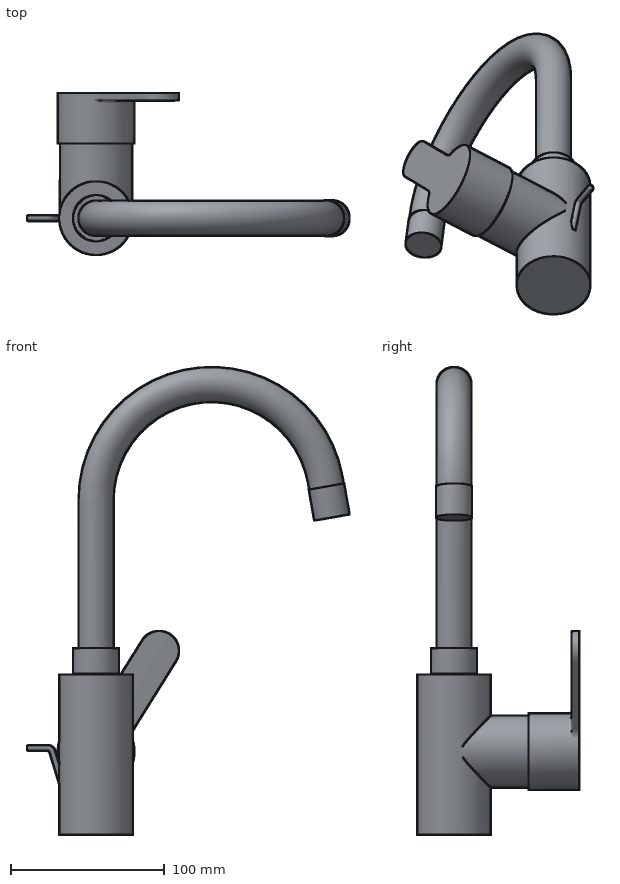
import cadquery as cq
import math

BODY_RADIUS = 24.0
BODY_HEIGHT = 104.2

BRANCH_RADIUS = 23.6
BRANCH_Z = 54.1
BRANCH_END_Y = 48.5

COLLAR_RADIUS = 15.05
COLLAR_HEIGHT = 17.2
COLLAR_TOP_ROUND = 0.5
COLLAR_BASE_CHAMFER = 0.5

SPOUT_RADIUS = 11.5
SPOUT_TOP_Z = 303.99
NECK_RADIUS = 75.0
NECK_SWEEP = 170.0
SPOUT_END_LENGTH = 4.3
NECK_START_Z = SPOUT_TOP_Z - NECK_RADIUS - SPOUT_RADIUS

AERATOR_RADIUS = 11.75
AERATOR_LENGTH = 20.5

HUB_RADIUS = 25.0
HUB_BACK_Y = 105.46 - BODY_RADIUS
BLADE_ANGLE = 32.0
BLADE_HALF_WIDTH = 13.0
BLADE_REACH = 90.2
BLADE_THICKNESS = 5.0
BLADE_CROWN = 0.3
BLADE_EDGE_ROUND = 1.0
BLADE_ROOT_ROUND = 1.5
BLADE_FLARE_RADIUS = 8.0
BLADE_FLARE_SINK = 0.3

ROD_RADIUS = 2.0
ROD_TIP_ROUND = 1.5
ROD_TIP_X = -45.0
ROD_Z = 56.4
ROD_BEND_START_X = -31.3
ROD_BEND_RADIUS = 3.0
ROD_BEND_ANGLE = 73.0
ROD_SLANT_LENGTH = 34.0

PICK_MARGIN = 1.0


def make_rod():
    """Round rod that runs along +X, then bends down into the body."""
    bend = math.radians(ROD_BEND_ANGLE)
    half = bend / 2

    def on_bend(angle):
        return (
            ROD_BEND_START_X + ROD_BEND_RADIUS * math.sin(angle),
            ROD_Z - ROD_BEND_RADIUS * (1 - math.cos(angle)),
        )

    bend_end_x, bend_end_z = on_bend(bend)
    slant_end = (
        bend_end_x + ROD_SLANT_LENGTH * math.cos(bend),
        bend_end_z - ROD_SLANT_LENGTH * math.sin(bend),
    )
    path = (
        cq.Workplane("XZ")
        .moveTo(ROD_TIP_X, ROD_Z)
        .lineTo(ROD_BEND_START_X, ROD_Z)
        .threePointArc(on_bend(half), (bend_end_x, bend_end_z))
        .lineTo(*slant_end)
    )
    rod = (
        cq.Workplane("YZ", origin=(ROD_TIP_X, 0, ROD_Z))
        .circle(ROD_RADIUS)
        .sweep(path)
    )
    return rod.faces("<X").edges().fillet(ROD_TIP_ROUND)


def make_body(rod):
    """Upright cylinder with its side branch and a close-fitting hole for the rod."""
    column = cq.Workplane("XY").circle(BODY_RADIUS).extrude(BODY_HEIGHT)
    branch = (
        cq.Workplane("XZ", origin=(0, 0, BRANCH_Z))
        .circle(BRANCH_RADIUS)
        .extrude(-BRANCH_END_Y)
    )
    return column.union(branch).cut(rod)


def make_collar():
    """Ring that stands on the body and surrounds the spout."""
    ring = (
        cq.Workplane("XY", origin=(0, 0, BODY_HEIGHT))
        .circle(COLLAR_RADIUS)
        .extrude(COLLAR_HEIGHT)
        .faces(">Z").edges().fillet(COLLAR_TOP_ROUND)
        .faces("<Z").edges().chamfer(COLLAR_BASE_CHAMFER)
    )
    bore = (
        cq.Workplane("XY", origin=(0, 0, BODY_HEIGHT))
        .circle(SPOUT_RADIUS)
        .extrude(COLLAR_HEIGHT)
    )
    return ring.cut(bore)


def on_neck(turned):
    """X and Z on the neck centreline after the given turn in degrees."""
    angle = math.radians(180 - turned)
    return (
        NECK_RADIUS + NECK_RADIUS * math.cos(angle),
        NECK_START_Z + NECK_RADIUS * math.sin(angle),
    )


NECK_END_X, NECK_END_Z = on_neck(NECK_SWEEP)
OUTLET_DIR_X = math.cos(math.radians(NECK_SWEEP - 90))
OUTLET_DIR_Z = -math.sin(math.radians(NECK_SWEEP - 90))
SPOUT_END_X = NECK_END_X + SPOUT_END_LENGTH * OUTLET_DIR_X
SPOUT_END_Z = NECK_END_Z + SPOUT_END_LENGTH * OUTLET_DIR_Z


def make_spout():
    """Swan-neck spout that stands on the body inside the collar."""
    path = (
        cq.Workplane("XZ")
        .moveTo(0, BODY_HEIGHT)
        .lineTo(0, NECK_START_Z)
        .threePointArc(on_neck(NECK_SWEEP / 2), (NECK_END_X, NECK_END_Z))
        .lineTo(SPOUT_END_X, SPOUT_END_Z)
    )
    return (
        cq.Workplane("XY", origin=(0, 0, BODY_HEIGHT))
        .circle(SPOUT_RADIUS)
        .sweep(path)
    )


def make_aerator():
    """Slightly wider sleeve on the spout end, in line with the outlet."""
    outlet = cq.Plane(
        origin=(SPOUT_END_X, 0, SPOUT_END_Z),
        xDir=(0, 1, 0),
        normal=(OUTLET_DIR_X, 0, OUTLET_DIR_Z),
    )
    return cq.Workplane(outlet).circle(AERATOR_RADIUS).extrude(AERATOR_LENGTH)


def make_blade_outline():
    """Upright blade with a round tip and sides that flare out into the hub."""
    centre_x = BLADE_HALF_WIDTH + BLADE_FLARE_RADIUS
    centre_distance = HUB_RADIUS + BLADE_FLARE_RADIUS - BLADE_FLARE_SINK
    centre_z = math.sqrt(centre_distance ** 2 - centre_x ** 2)
    to_hub = math.atan2(-centre_z, -centre_x)
    to_side = -math.pi

    def on_flare(angle):
        return (
            centre_x + BLADE_FLARE_RADIUS * math.cos(angle),
            centre_z + BLADE_FLARE_RADIUS * math.sin(angle),
        )

    foot_x, foot_z = on_flare(to_hub)
    middle_x, middle_z = on_flare((to_hub + to_side) / 2)
    round_start_z = BLADE_REACH - BLADE_HALF_WIDTH
    return (
        cq.Workplane("XZ", origin=(0, HUB_BACK_Y, BRANCH_Z))
        .moveTo(foot_x, foot_z)
        .threePointArc((middle_x, middle_z), (BLADE_HALF_WIDTH, centre_z))
        .lineTo(BLADE_HALF_WIDTH, round_start_z)
        .threePointArc((0, BLADE_REACH), (-BLADE_HALF_WIDTH, round_start_z))
        .lineTo(-BLADE_HALF_WIDTH, centre_z)
        .threePointArc((-middle_x, middle_z), (-foot_x, foot_z))
        .lineTo(0, 0)
        .close()
        .extrude(2 * BLADE_THICKNESS)
    )


def make_blade():
    """Blade crowned along its centre ridge, with a rounded front rim."""
    crest_y = HUB_BACK_Y - BLADE_THICKNESS - BLADE_CROWN
    roof_half_width = 2 * BLADE_HALF_WIDTH
    roof_edge_y = crest_y + 2 * BLADE_CROWN
    section = (
        cq.Workplane("XY", origin=(0, 0, BRANCH_Z))
        .moveTo(-roof_half_width, HUB_BACK_Y)
        .lineTo(roof_half_width, HUB_BACK_Y)
        .lineTo(roof_half_width, roof_edge_y)
        .lineTo(0, crest_y)
        .lineTo(-roof_half_width, roof_edge_y)
        .close()
        .extrude(BLADE_REACH)
    )
    tip_z = BRANCH_Z + BLADE_REACH
    foot_middle_z = BRANCH_Z + HUB_RADIUS / 2
    front_edges = cq.selectors.BoxSelector(
        (-roof_half_width, crest_y - PICK_MARGIN, foot_middle_z),
        (roof_half_width, crest_y + PICK_MARGIN, tip_z + PICK_MARGIN),
    )
    ridge = cq.selectors.BoxSelector(
        (-PICK_MARGIN, crest_y - PICK_MARGIN, BRANCH_Z),
        (PICK_MARGIN, crest_y + PICK_MARGIN, tip_z - PICK_MARGIN),
    )
    return (
        section.intersect(make_blade_outline())
        .edges(front_edges - ridge)
        .fillet(BLADE_EDGE_ROUND)
    )


def make_lever():
    """Hub on the branch end with the leaning blade flush with its back."""
    hub = (
        cq.Workplane("XZ", origin=(0, BRANCH_END_Y, BRANCH_Z))
        .circle(HUB_RADIUS)
        .extrude(BRANCH_END_Y - HUB_BACK_Y)
    )
    lever = hub.union(make_blade())
    front_y = HUB_BACK_Y - BLADE_THICKNESS
    root_top_z = BRANCH_Z + HUB_RADIUS + PICK_MARGIN
    root_low_z = BRANCH_Z + math.sqrt(HUB_RADIUS ** 2 - BLADE_HALF_WIDTH ** 2)
    root = cq.selectors.BoxSelector(
        (-BLADE_HALF_WIDTH, front_y - PICK_MARGIN, root_low_z),
        (BLADE_HALF_WIDTH, front_y + 0.5 * PICK_MARGIN, root_top_z),
    )
    lever = lever.edges(root).fillet(BLADE_ROOT_ROUND)
    hub_axis_start = (0, 0, BRANCH_Z)
    hub_axis_end = (0, 1, BRANCH_Z)
    return lever.rotate(hub_axis_start, hub_axis_end, BLADE_ANGLE)


rod = make_rod()
body = make_body(rod)
collar = make_collar()
spout = make_spout()
aerator = make_aerator()
lever = make_lever()

result = cq.Compound.makeCompound([
    body.val(),
    collar.val(),
    spout.val(),
    aerator.val(),
    lever.val(),
    rod.val(),
])